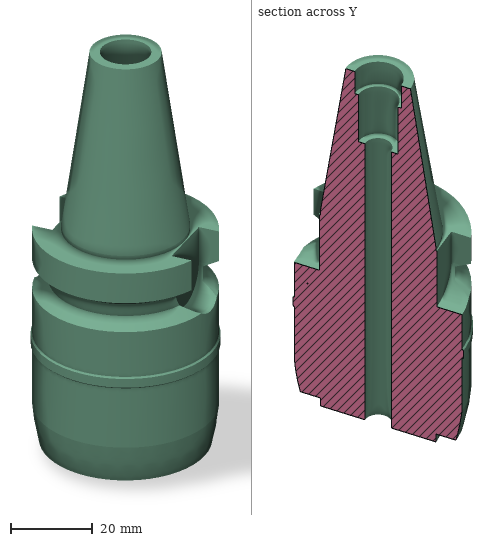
import cadquery as cq

TOTAL_HEIGHT = 110.8
NOSE_TOP = 2.5
NUT_TAPER_TOP = 12.6
RING_BOTTOM = 29.3
RING_TOP = 32.5
BODY_TOP = 45.0
GROOVE_BOTTOM = 47.3
GROOVE_TOP = 50.6
FLANGE_BOTTOM = 53.1
FLANGE_TOP = 61.4
SHANK_TAPER_BOTTOM = 62.4

NOSE_RADIUS = 15.8
NUT_END_RADIUS = 21.3
NUT_BULGE = 0.2
BODY_RADIUS = 22.9
RING_CHAMFER = 0.39
RING_RADIUS = BODY_RADIUS + RING_CHAMFER
GROOVE_RADIUS = 19.0
SHANK_BASE_RADIUS = 15.8
SHANK_TOP_RADIUS = 8.9

SLOT_WIDTH = 16.2
SLOT_FLOOR_X = 16.1
SLOT_END_Z = 43.5
SLOT_RADIUS = SLOT_WIDTH / 2

BORE_RADIUS = 3.5
MOUTH_RADIUS = 6.3
MOUTH_DEPTH = 7.1
STEP_RADIUS = 5.3
STEP_DEPTH = 22.2


def turned_body():
    """Revolve the nose, nut, ring, V-flange and tapered shank about Z."""
    bulge_radius = (NUT_END_RADIUS + BODY_RADIUS) / 2 + NUT_BULGE
    bulge_height = (NOSE_TOP + NUT_TAPER_TOP) / 2
    profile = (
        cq.Workplane("XZ")
        .lineTo(NOSE_RADIUS, 0)
        .lineTo(NOSE_RADIUS, NOSE_TOP)
        .lineTo(NUT_END_RADIUS, NOSE_TOP)
        .threePointArc((bulge_radius, bulge_height), (BODY_RADIUS, NUT_TAPER_TOP))
        .lineTo(BODY_RADIUS, RING_BOTTOM)
        .lineTo(RING_RADIUS, RING_BOTTOM + RING_CHAMFER)
        .lineTo(RING_RADIUS, RING_TOP - RING_CHAMFER)
        .lineTo(BODY_RADIUS, RING_TOP)
        .lineTo(BODY_RADIUS, BODY_TOP)
        .lineTo(GROOVE_RADIUS, GROOVE_BOTTOM)
        .lineTo(GROOVE_RADIUS, GROOVE_TOP)
        .lineTo(BODY_RADIUS, FLANGE_BOTTOM)
        .lineTo(BODY_RADIUS, FLANGE_TOP)
        .lineTo(SHANK_BASE_RADIUS, FLANGE_TOP)
        .lineTo(SHANK_BASE_RADIUS, SHANK_TAPER_BOTTOM)
        .lineTo(SHANK_TOP_RADIUS, TOTAL_HEIGHT)
        .lineTo(0, TOTAL_HEIGHT)
        .close()
    )
    return profile.revolve(360, (0, 0, 0), (0, 1, 0))


def drive_slot(side):
    """Round-bottomed slot cutter, open at the flange top, on the given X side."""
    arc_center_z = SLOT_END_Z + SLOT_RADIUS
    return (
        cq.Workplane("YZ", origin=(side * SLOT_FLOOR_X, 0, 0))
        .moveTo(-SLOT_RADIUS, FLANGE_TOP)
        .lineTo(-SLOT_RADIUS, arc_center_z)
        .threePointArc((0, SLOT_END_Z), (SLOT_RADIUS, arc_center_z))
        .lineTo(SLOT_RADIUS, FLANGE_TOP)
        .close()
        .extrude(side * RING_RADIUS)
    )


def bore_from_top(radius, depth):
    """Cylindrical cutter reaching down from the shank end."""
    return cq.Workplane("XY", origin=(0, 0, TOTAL_HEIGHT)).circle(radius).extrude(-depth)


result = turned_body()

for x_side in (-1, 1):
    result = result.cut(drive_slot(x_side))

for bore_radius, bore_depth in (
    (MOUTH_RADIUS, MOUTH_DEPTH),
    (STEP_RADIUS, STEP_DEPTH),
    (BORE_RADIUS, TOTAL_HEIGHT),
):
    result = result.cut(bore_from_top(bore_radius, bore_depth))